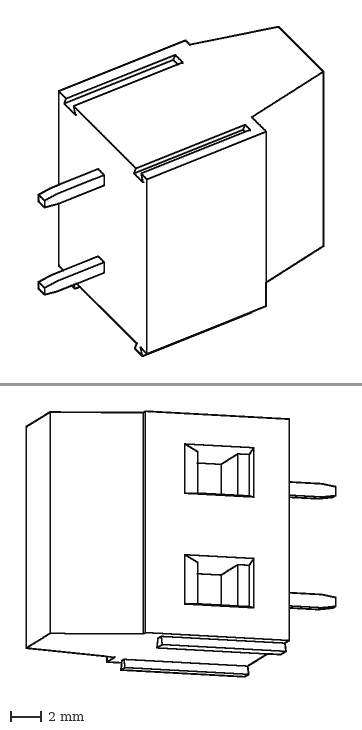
import cadquery as cq


BODY_WIDTH = 11.0
BODY_LENGTH = 16.0
POLE_PITCH = 7.5
POLE_COUNT = 2
BODY_HEIGHT = POLE_COUNT * POLE_PITCH
LEFT_SHOULDER_Y = 10.0
RIGHT_SHOULDER_Y = 9.4
LEFT_SHOULDER_WIDTH = 0.53
RIGHT_SHOULDER_WIDTH = 1.8
END_FACE_X = 2.1
END_FACE_WIDTH = 5.6

PIN_X = 5.3
PIN_WIDTH = 0.75
PIN_THICKNESS = 0.9
PIN_LENGTH = 4.7
PIN_TIP_LENGTH = 1.0
PIN_TIP_THICKNESS = 0.6

HOLE_SIDE = 2.8
HOLE_NEAR_Y = 3.26
HOLE_FAR_Y = HOLE_NEAR_Y + HOLE_SIDE
FUNNEL_DEPTH = 1.05
FUNNEL_NEAR_Y = 2.47
FUNNEL_FAR_FLARE = 1.21
FUNNEL_SIDE_FLARE = 0.27
ENTRY_DEPTH = 5.0

DOVETAIL_LENGTH = 8.6
DOVETAIL_HEIGHT = 0.6
DOVETAIL_FLANK_RUN = 0.25
DOVETAIL_CLEARANCE = 0.08
DOVETAILS = [(1.4, 0.93), (9.95, 0.63)]

POLE_HEIGHTS = [(pole + 0.5) * POLE_PITCH for pole in range(POLE_COUNT)]


def make_housing():
    outline = [
        (0, 0),
        (BODY_WIDTH, 0),
        (BODY_WIDTH, RIGHT_SHOULDER_Y),
        (BODY_WIDTH - RIGHT_SHOULDER_WIDTH, RIGHT_SHOULDER_Y),
        (END_FACE_X + END_FACE_WIDTH, BODY_LENGTH),
        (END_FACE_X, BODY_LENGTH),
        (LEFT_SHOULDER_WIDTH, LEFT_SHOULDER_Y),
        (0, LEFT_SHOULDER_Y),
    ]
    return cq.Workplane("XY").polyline(outline).close().extrude(BODY_HEIGHT)


def make_dovetail(center_x, neck_width, neck_z):
    """Dovetail bar along Y, narrow at neck_z and wider below it."""
    half_neck = neck_width / 2
    half_base = half_neck + DOVETAIL_FLANK_RUN
    base_z = neck_z - DOVETAIL_HEIGHT
    section = [
        (center_x - half_neck, neck_z),
        (center_x + half_neck, neck_z),
        (center_x + half_base, base_z),
        (center_x - half_base, base_z),
    ]
    return cq.Workplane("XZ").polyline(section).close().extrude(-DOVETAIL_LENGTH)


def make_wire_entry(center_z):
    """Square hole plus the funnel flaring toward -X; the funnel's near wall is straight."""
    hole = (
        cq.Workplane("XY")
        .box(ENTRY_DEPTH, HOLE_SIDE, HOLE_SIDE, centered=(False, False, True))
        .translate((0, HOLE_NEAR_Y, center_z))
    )
    floor_length = HOLE_FAR_Y - FUNNEL_NEAR_Y
    mouth_length = floor_length + FUNNEL_FAR_FLARE
    mouth_height = HOLE_SIDE + 2 * FUNNEL_SIDE_FLARE
    funnel = (
        cq.Workplane("YZ")
        .center(FUNNEL_NEAR_Y + mouth_length / 2, center_z)
        .rect(mouth_length, mouth_height)
        .workplane(offset=FUNNEL_DEPTH)
        .center((floor_length - mouth_length) / 2, 0)
        .rect(floor_length, HOLE_SIDE)
        .loft(ruled=True)
    )
    return hole.union(funnel)


def make_pin(center_z):
    """Flat pin along -Y whose tip narrows in Z."""
    half = PIN_THICKNESS / 2
    half_tip = PIN_TIP_THICKNESS / 2
    taper_y = PIN_TIP_LENGTH - PIN_LENGTH
    profile = [
        (0, center_z - half),
        (taper_y, center_z - half),
        (-PIN_LENGTH, center_z - half_tip),
        (-PIN_LENGTH, center_z + half_tip),
        (taper_y, center_z + half),
        (0, center_z + half),
    ]
    pin_plane = cq.Workplane("YZ", origin=(PIN_X - PIN_WIDTH / 2, 0, 0))
    return pin_plane.polyline(profile).close().extrude(PIN_WIDTH)


result = make_housing()

for dovetail_x, mouth_width in DOVETAILS:
    rib_neck_width = mouth_width - 2 * DOVETAIL_CLEARANCE
    result = result.cut(make_dovetail(dovetail_x, mouth_width, BODY_HEIGHT))
    result = result.union(make_dovetail(dovetail_x, rib_neck_width, 0))

for pole_z in POLE_HEIGHTS:
    result = result.cut(make_wire_entry(pole_z))
    result = result.union(make_pin(pole_z))